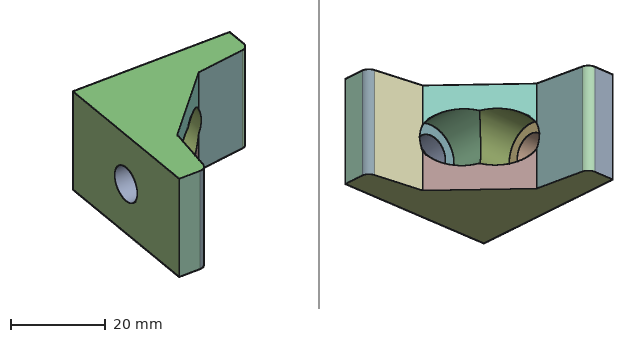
import cadquery as cq

leg_length = 40.0
height = 25.0
tip_thickness = 7.0
root_offset = 9.0
root_distance = 26.0
tip_radius = 2.0
bolt_diameter = 8.5
head_diameter = 13.5
seat_thickness = 5.0

bolt_position = leg_length / 2
mid_height = height / 2


def bracket_body():
    """Corner block, symmetric about the diagonal through its outer corner."""
    x_leg_tip = (leg_length, tip_thickness)
    y_leg_tip = (tip_thickness, leg_length)
    outline = [
        (0, 0),
        (leg_length, 0),
        x_leg_tip,
        (root_distance, root_offset),
        (root_offset, root_distance),
        y_leg_tip,
        (0, leg_length),
    ]
    body = cq.Workplane("XY").polyline(outline).close().extrude(height)
    for x, y in (x_leg_tip, y_leg_tip):
        tip_edge = cq.selectors.NearestToPointSelector((x, y, mid_height))
        body = body.edges("|Z").edges(tip_edge).fillet(tip_radius)
    return body


def bolt_cutter(position, direction):
    """Bolt hole with a counterbore that opens through the inner side."""
    start = cq.Vector(*position)
    axis = cq.Vector(*direction)
    hole = cq.Solid.makeCylinder(bolt_diameter / 2, leg_length, start, axis)
    seat = start + axis * seat_thickness
    head = cq.Solid.makeCylinder(head_diameter / 2, leg_length, seat, axis)
    return cq.Workplane(obj=hole).union(cq.Workplane(obj=head))


result = bracket_body()
result = result.cut(bolt_cutter((bolt_position, 0, mid_height), (0, 1, 0)))
result = result.cut(bolt_cutter((0, bolt_position, mid_height), (1, 0, 0)))